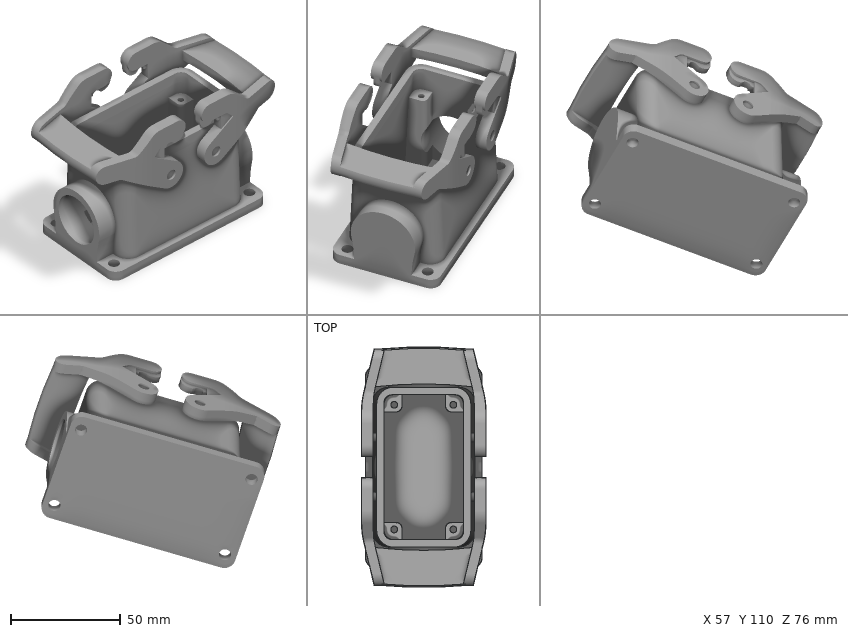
import cadquery as cq
import math

base_width = 53.5
base_length = 92.6
base_thickness = 5.1
base_corner_radius = 5.2
base_hole_spacing_x = 40.0
base_hole_spacing_y = 81.8
base_hole_diameter = 5.5

wall_thickness = 3.4
shell_length = 73.0
shell_foot_width = 47.1
shell_rim_width = 43.0
shell_corner_radius = 7.5
rim_start_z = 51.6
rim_top_z = 57.3

post_top_z = 45.1
post_inner_x = 10.0
post_inner_y = 25.3
post_corner_radius = 2.5
post_hole_spacing_x = 27.1
post_hole_spacing_y = 57.0
post_hole_diameter = 3.1
post_hole_depth = 13.2

boss_center_z = 21.0
boss_radius = 16.1
boss_foot_half_width = 14.3
boss_side_start_z = 17.6
bore_radius = 12.4

pivot_y = 13.5
pivot_z = 47.1
hub_radius = 7.0
pin_radius = 2.1
pin_socket_depth = 1.6
pin_recess_radius = 2.6
pin_recess_depth = 1.1

arm_outer_x = 28.5
arm_inner_x = 23.1
mouth_back_outer_x = 27.8
lip_inner_x = 24.2
lip_outer_x = 27.2
arm_bend_start_y = 25.2
arm_bend_end_y = 34.4
arm_inner_bend_start_y = 28.6
arm_inner_bend_end_y = 36.5
arm_end_y = 54.1
arm_splay = 0.24

lever_top_z = 76.0
grip_center_z = 61.7
grip_radius = 5.1
grip_foot_y = 41.7
slope_foot_y = 34.9
slope_start_y = 32.2
slope_start_z = 67.9
slope_end_y = 25.5
slope_end_z = 73.9
hook_flat_y = 20.4
hook_tip_y = 4.8
hook_tip_radius = 5.0
mouth_top_z = 66.1
mouth_corner_y = 23.9
mouth_corner_z = 62.0
lip_radius = 4.3
lip_bottom_z = 63.0
mouth_back_y = 17.0
mouth_back_foot_z = 56.1
mouth_flat_y = 18.7
mouth_round_y = 21.3
mouth_round_z = 64.7
mouth_overlap = 2.2
notch_tip_y = 10.5
notch_start_y = 11.7
notch_start_z = 64.0
notch_middle_y = 13.5
notch_top_z = 65.0
notch_end_y = 15.4
notch_end_z = 63.6

bar_thickness = 5.2
bar_inner_side_y = 36.6
bar_inner_middle_y = 38.1
bar_outer_middle_y = 55.0
bar_overlap = 1.1


def make_base():
    base = cq.Workplane("XY").rect(base_width, base_length).extrude(base_thickness)
    base = base.edges("|Z").fillet(base_corner_radius)
    return (
        base.faces(">Z").workplane(origin=(0, 0, base_thickness))
        .rect(base_hole_spacing_x, base_hole_spacing_y, forConstruction=True)
        .vertices().hole(base_hole_diameter)
    )


def make_shell(inset):
    """Tapered lower part plus upright rim with rounded corners, shrunk on every side by the inset."""
    foot_x = shell_foot_width / 2 - inset
    rim_x = shell_rim_width / 2 - inset
    end_y = shell_length / 2 - inset
    profile = [
        (-foot_x, base_thickness),
        (foot_x, base_thickness),
        (rim_x, rim_start_z),
        (rim_x, rim_top_z),
        (-rim_x, rim_top_z),
        (-rim_x, rim_start_z),
    ]
    block = cq.Workplane("XZ", origin=(0, end_y, 0)).polyline(profile).close().extrude(2 * end_y)
    return block.edges("not(|X or |Y)").fillet(shell_corner_radius - inset)


def make_boss():
    """Solid cable boss, as long as the base, with sides flaring into the base."""
    side_x = math.sqrt(boss_radius**2 - (boss_center_z - boss_side_start_z) ** 2)
    foot_x = boss_foot_half_width
    foot_radius = boss_radius * (side_x - foot_x) / (boss_radius - side_x)
    side_angle = math.asin((boss_center_z - boss_side_start_z) / boss_radius) / 2
    middle_x = foot_x + foot_radius * (1 - math.cos(side_angle))
    middle_z = base_thickness + (boss_side_start_z - base_thickness) / 2
    return (
        cq.Workplane("XZ", origin=(0, base_length / 2, 0))
        .moveTo(-foot_x, 0)
        .lineTo(foot_x, 0)
        .lineTo(foot_x, base_thickness)
        .threePointArc((middle_x, middle_z), (side_x, boss_side_start_z))
        .threePointArc((0, boss_center_z + boss_radius), (-side_x, boss_side_start_z))
        .threePointArc((-middle_x, middle_z), (-foot_x, base_thickness))
        .close()
        .extrude(base_length)
    )


def make_posts(cavity):
    """Four screw posts filling the corners of the cavity."""
    posts = cq.Workplane("XY")
    height = post_top_z - base_thickness
    for side_x in (-1, 1):
        for side_y in (-1, 1):
            post = (
                cq.Workplane("XY", origin=(0, 0, base_thickness))
                .center(side_x * (post_inner_x + base_width / 2), side_y * (post_inner_y + base_length / 2))
                .rect(base_width, base_length)
                .extrude(height)
                .edges("|Z").fillet(post_corner_radius)
            )
            posts = posts.union(post.intersect(cavity))
    holes = (
        cq.Workplane("XY", origin=(0, 0, post_top_z))
        .rect(post_hole_spacing_x, post_hole_spacing_y, forConstruction=True)
        .vertices().circle(post_hole_diameter / 2)
        .extrude(-post_hole_depth)
    )
    return posts.cut(holes)


def make_bore():
    """Cable entry through the -Y boss and into the cavity, cutting the posts beside it."""
    return (
        cq.Workplane("XZ", origin=(0, -base_length / 2, 0))
        .center(0, boss_center_z)
        .circle(bore_radius)
        .extrude(-base_length / 2)
    )


def make_pins(side_y):
    """Two pivot pins, reaching from the lever arms into the housing walls."""
    inner_x = shell_rim_width / 2 - pin_socket_depth
    pin = (
        cq.Workplane("YZ", origin=(inner_x, side_y * pivot_y, pivot_z))
        .circle(pin_radius)
        .extrude(arm_inner_x - inner_x)
    )
    return pin.union(pin.mirror("YZ"))


def make_housing():
    cavity = make_shell(wall_thickness)
    housing = make_base().union(make_shell(0)).union(make_boss())
    housing = housing.cut(cavity).union(make_posts(cavity)).cut(make_bore())
    return housing


def hub_tangent(point_y, point_z, side):
    """Point where a line from the given point touches the hub, above (1) or below (-1)."""
    across = point_y - pivot_y
    up = point_z - pivot_z
    angle = math.atan2(up, across) + side * math.acos(hub_radius / math.hypot(across, up))
    return pivot_y + hub_radius * math.cos(angle), pivot_z + hub_radius * math.sin(angle)


def arm_outline():
    """Side outline of an arm with hub, grip and hook, extruded from the middle plane."""
    grip_end_y = arm_end_y - grip_radius
    grip_top_z = grip_center_z + grip_radius
    grip_bottom_z = grip_center_z - grip_radius
    lower_corner = (grip_foot_y, grip_bottom_z)
    hook_straight_y = hook_tip_y + hook_tip_radius
    return (
        cq.Workplane("YZ")
        .moveTo(*hub_tangent(*lower_corner, -1))
        .lineTo(*lower_corner)
        .lineTo(grip_end_y, grip_bottom_z)
        .threePointArc((arm_end_y, grip_center_z), (grip_end_y, grip_top_z))
        .lineTo(slope_foot_y, grip_top_z)
        .tangentArcPoint((slope_start_y, slope_start_z), relative=False)
        .lineTo(slope_end_y, slope_end_z)
        .tangentArcPoint((hook_flat_y, lever_top_z), relative=False)
        .lineTo(hook_straight_y, lever_top_z)
        .threePointArc((hook_tip_y, lever_top_z - hook_tip_radius), (hook_straight_y, mouth_top_z))
        .lineTo(mouth_flat_y, mouth_top_z)
        .tangentArcPoint((mouth_round_y, mouth_round_z), relative=False)
        .lineTo(mouth_corner_y, mouth_corner_z)
        .lineTo(*hub_tangent(mouth_corner_y, mouth_corner_z, 1))
        .threePointArc((pivot_y - hub_radius, pivot_z), hub_tangent(*lower_corner, -1))
        .close()
        .extrude(arm_outer_x)
    )


def mouth_back():
    """Upright wall that closes the back of the hook mouth, set in from the outer face."""
    return (
        cq.Workplane("YZ")
        .moveTo(mouth_back_y, mouth_top_z + mouth_overlap)
        .lineTo(mouth_corner_y, mouth_top_z + mouth_overlap)
        .lineTo(mouth_corner_y, mouth_corner_z - mouth_overlap)
        .lineTo(mouth_back_y, mouth_back_foot_z)
        .close()
        .extrude(mouth_back_outer_x)
    )


def hook_lip():
    """Lip below the hook, with a catch notch, lying between the two faces of the arm."""
    return (
        cq.Workplane("YZ", origin=(lip_inner_x, 0, 0))
        .moveTo(hook_tip_y, lever_top_z - hook_tip_radius)
        .lineTo(hook_tip_y, lip_bottom_z + lip_radius)
        .tangentArcPoint((hook_tip_y + lip_radius, lip_bottom_z), relative=False)
        .lineTo(notch_tip_y, lip_bottom_z)
        .lineTo(notch_start_y, notch_start_z)
        .threePointArc((notch_middle_y, notch_top_z), (notch_end_y, notch_end_z))
        .lineTo(notch_end_y, lip_bottom_z)
        .lineTo(mouth_back_y, lip_bottom_z)
        .lineTo(mouth_back_y, lever_top_z - hook_tip_radius)
        .close()
        .extrude(lip_outer_x - lip_inner_x)
    )


def inner_face_x(y):
    """X of the splayed inner face of an arm at the given distance along Y."""
    bend_middle_y = (arm_inner_bend_start_y + arm_inner_bend_end_y) / 2
    return arm_inner_x - arm_splay * (y - bend_middle_y)


def arm_band():
    """Plan shape of an arm: straight beside the housing, then splayed towards the grip."""
    bend_drop = arm_splay * (arm_bend_end_y - arm_bend_start_y) / 2
    bend_end_x = arm_outer_x - bend_drop
    outer_end_x = bend_end_x - arm_splay * (arm_end_y - arm_bend_end_y)
    return (
        cq.Workplane("XY")
        .moveTo(arm_inner_x, 0)
        .lineTo(arm_outer_x, 0)
        .lineTo(arm_outer_x, arm_bend_start_y)
        .tangentArcPoint((bend_end_x, arm_bend_end_y), relative=False)
        .lineTo(outer_end_x, arm_end_y)
        .lineTo(inner_face_x(arm_end_y), arm_end_y)
        .lineTo(inner_face_x(arm_inner_bend_end_y), arm_inner_bend_end_y)
        .tangentArcPoint((arm_inner_x, arm_inner_bend_start_y), relative=False)
        .close()
        .extrude(lever_top_z)
    )


def make_arm():
    arm = arm_outline().union(mouth_back()).intersect(arm_band())
    arm = arm.union(hook_lip())
    recess = (
        cq.Workplane("YZ", origin=(arm_outer_x, pivot_y, pivot_z))
        .circle(pin_recess_radius)
        .extrude(-pin_recess_depth)
    )
    return arm.cut(recess)


def make_bar():
    """Grip bar with bowed edges between the two arms; its outer edge is rounded like the arm ends."""
    half_inner = inner_face_x(bar_inner_side_y) + bar_overlap
    half_outer = inner_face_x(arm_end_y) + bar_overlap
    plan = (
        cq.Workplane("XY")
        .moveTo(-half_inner, bar_inner_side_y)
        .threePointArc((0, bar_inner_middle_y), (half_inner, bar_inner_side_y))
        .lineTo(half_outer, arm_end_y)
        .lineTo(half_outer, bar_outer_middle_y)
        .lineTo(-half_outer, bar_outer_middle_y)
        .lineTo(-half_outer, arm_end_y)
        .close()
        .extrude(lever_top_z)
    )
    bow = bar_outer_middle_y - arm_end_y
    bow_radius = (half_outer**2 + bow**2) / (2 * bow)
    half_thickness = bar_thickness / 2
    edge_drop = grip_radius - math.sqrt(grip_radius**2 - half_thickness**2)
    disc = (
        cq.Workplane("XZ", origin=(0, bar_outer_middle_y - bow_radius, grip_center_z))
        .moveTo(0, -half_thickness)
        .lineTo(bow_radius - edge_drop, -half_thickness)
        .threePointArc((bow_radius, 0), (bow_radius - edge_drop, half_thickness))
        .lineTo(0, half_thickness)
        .close()
        .revolve(360, (0, 0, 0), (0, 1, 0))
    )
    return plan.intersect(disc)


def make_lever(side_y):
    """Locking lever with its pivot pins, on the +Y (1) or -Y (-1) end of the housing."""
    arm = make_arm()
    lever = arm.union(arm.mirror("YZ")).union(make_bar()).union(make_pins(1))
    if side_y < 0:
        lever = lever.mirror("XZ")
    return lever


housing = make_housing().union(make_lever(1)).cut(make_pins(-1))
front_lever = make_lever(-1)
result = cq.Compound.makeCompound([housing.val(), front_lever.val()])